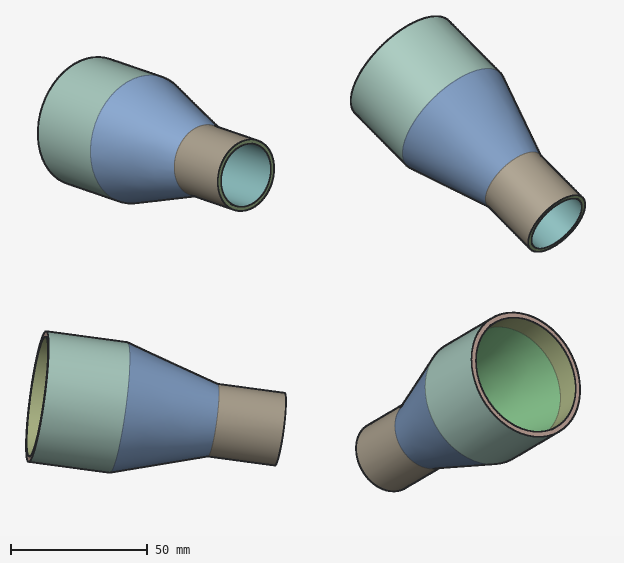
import cadquery as cq

large_outer_diameter = 48.3
large_bore_diameter = 44.3
small_outer_diameter = 26.9
small_bore_diameter = 23.7

total_length = 90.0
large_end_length = 30.0
small_end_length = 25.0

large_bore_depth = 10.0
small_bore_depth = 27.0


def stepped_cone(large_diameter, small_diameter, large_length, small_length):
    """Solid of revolution: wide cylinder, straight cone, narrow cylinder."""
    large_radius = large_diameter / 2
    small_radius = small_diameter / 2
    half_profile = (
        cq.Workplane("XY")
        .moveTo(0, 0)
        .lineTo(0, large_radius)
        .lineTo(large_length, large_radius)
        .lineTo(total_length - small_length, small_radius)
        .lineTo(total_length, small_radius)
        .lineTo(total_length, 0)
        .close()
    )
    return half_profile.revolve(360, (0, 0, 0), (1, 0, 0))


outer_body = stepped_cone(
    large_outer_diameter, small_outer_diameter, large_end_length, small_end_length
)
bore = stepped_cone(
    large_bore_diameter, small_bore_diameter, large_bore_depth, small_bore_depth
)

result = outer_body.cut(bore)